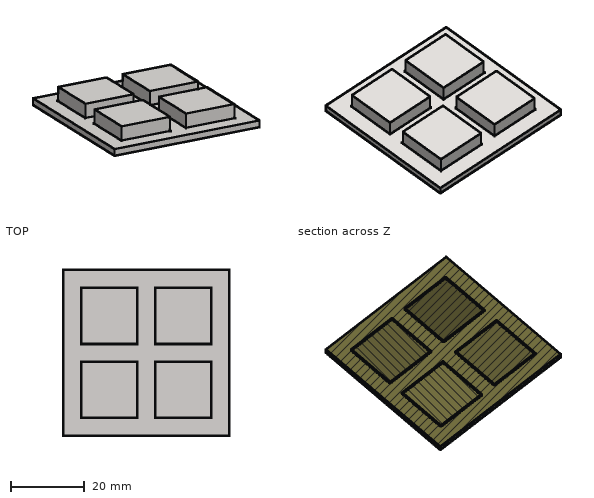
import cadquery as cq

plate_side = 45.0
plate_thickness = 2.0
recess_depth = 1.0
recess_floor = plate_thickness - recess_depth

total_height = 6.0
key_height = total_height - recess_floor
key_side = 15.0
key_pitch = 20.0
clearance = 0.2
recess_side = key_side + 2 * clearance

key_centres = [
    (x_sign * key_pitch / 2, y_sign * key_pitch / 2)
    for x_sign in (-1, 1)
    for y_sign in (-1, 1)
]


def make_plate():
    """Square plate with one square blind recess around each key."""
    plate = cq.Workplane("XY").rect(plate_side, plate_side).extrude(plate_thickness)
    recesses = (
        cq.Workplane("XY", origin=(0, 0, recess_floor))
        .pushPoints(key_centres)
        .rect(recess_side, recess_side)
        .extrude(recess_depth)
    )
    return plate.cut(recesses)


def make_key(x, y):
    """Plain square block standing on its recess floor, centred at (x, y)."""
    base = cq.Workplane("XY", origin=(x, y, recess_floor))
    return base.rect(key_side, key_side).extrude(key_height)


plate = make_plate()
keys = [make_key(x, y) for x, y in key_centres]

result = cq.Compound.makeCompound([plate.val(), *[key.val() for key in keys]])